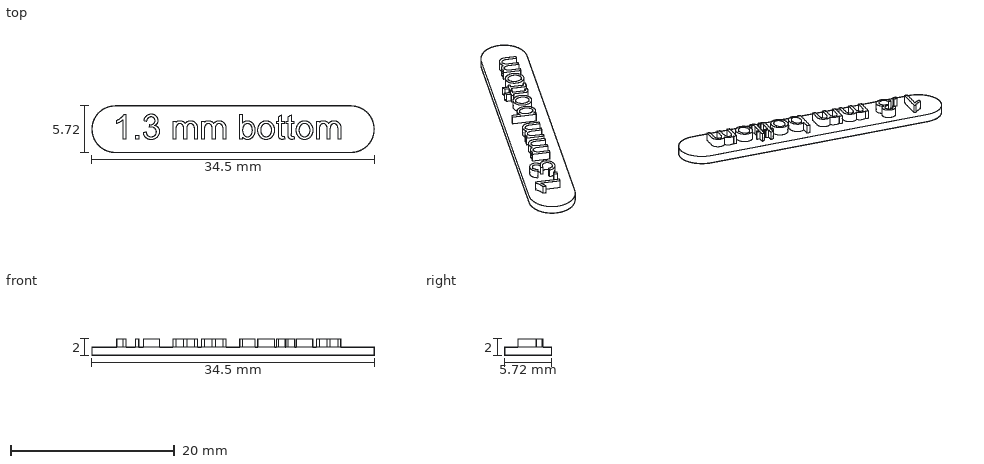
import cadquery as cq

LENGTH = 34.48
WIDTH = 5.72
PLATE_THICKNESS = 1.0

RELIEF = 1.0
TEXT = "1.3 mm bottom"
TEXT_START = -14.65
BASELINE = -1.2
DIGIT_CELL = 2.35
NARROW_CELL = DIGIT_CELL / 2
M_CELL = 3.48

STEM = 0.38
ROUND_STROKE = 0.3
CAP_HEIGHT = 3.0
X_HEIGHT = 2.17
OVERSHOOT = 0.05
SIDE_GAP = 0.28

ROUND_MIDDLE = X_HEIGHT / 2
ROUND_HALF_HEIGHT = ROUND_MIDDLE + OVERSHOOT

PLATE_CHARACTERS = "bo"


def block(x_min, x_max, y_min, y_max):
    """Raised rectangle between the given limits."""
    return (
        cq.Workplane("XY")
        .center((x_min + x_max) / 2, (y_min + y_max) / 2)
        .rect(x_max - x_min, y_max - y_min)
        .extrude(RELIEF)
    )


def oval_ring(middle_x, half_width, side_stroke):
    """Closed bowl as tall as a small letter."""
    return (
        cq.Workplane("XY")
        .center(middle_x, ROUND_MIDDLE)
        .ellipse(half_width, ROUND_HALF_HEIGHT)
        .ellipse(half_width - side_stroke, ROUND_HALF_HEIGHT - ROUND_STROKE)
        .extrude(RELIEF)
    )


def dome(half_width, dome_height, top):
    """Upright shape from the baseline with a half-ellipse on top, centred on X = 0."""
    shoulder = top - dome_height
    return (
        cq.Workplane("XY")
        .moveTo(half_width, 0)
        .lineTo(half_width, shoulder)
        .ellipseArc(half_width, dome_height, 0, 180, startAtCurrent=True)
        .lineTo(-half_width, 0)
        .close()
        .extrude(RELIEF)
    )


def digit_one():
    stem_right = 1.6
    stem_left = stem_right - STEM
    flag_tip = 0.45
    flag_bottom = 1.9
    flag_top = 2.28
    tip_width = 0.25
    return (
        cq.Workplane("XY")
        .moveTo(stem_left, 0)
        .lineTo(stem_right, 0)
        .lineTo(stem_right, CAP_HEIGHT)
        .lineTo(stem_right - tip_width, CAP_HEIGHT)
        .threePointArc((1.0, 2.62), (flag_tip, flag_top))
        .lineTo(flag_tip, flag_bottom)
        .threePointArc((0.85, 2.1), (stem_left, 2.35))
        .close()
        .extrude(RELIEF)
    )


def full_stop():
    dot_side = 0.4
    dot_left = 0.38
    return block(dot_left, dot_left + dot_side, 0, dot_side)


def digit_three():
    middle_x = 1.15
    top = CAP_HEIGHT + OVERSHOOT
    lower_end = (0.17, 0.8)
    return (
        cq.Workplane("XY")
        .moveTo(*lower_end)
        .lineTo(0.55, 0.85)
        .threePointArc((0.72, 0.4), (middle_x, ROUND_STROKE - OVERSHOOT))
        .threePointArc((1.75, 0.9), (middle_x, 1.48))
        .lineTo(0.9, 1.45)
        .lineTo(0.93, 1.75)
        .threePointArc((1.6, 2.28), (middle_x, top - ROUND_STROKE))
        .threePointArc((0.75, 2.55), (0.6, 2.17))
        .lineTo(0.25, 2.25)
        .threePointArc((0.55, 2.83), (middle_x, top))
        .threePointArc((1.72, 2.83), (1.95, 2.28))
        .threePointArc((1.85, 1.9), (1.55, 1.65))
        .threePointArc((2.0, 1.4), (2.17, 0.9))
        .threePointArc((1.85, 0.25), (middle_x, -OVERSHOOT))
        .threePointArc((0.48, 0.17), lower_end)
        .close()
        .extrude(RELIEF)
    )


def letter_m():
    leg_pitch = 1.3
    dome_height = 0.83
    top = X_HEIGHT + OVERSHOOT
    letter = block(SIDE_GAP, SIDE_GAP + STEM, 0, X_HEIGHT)
    for arch in range(2):
        arch_middle = SIDE_GAP + STEM / 2 + (arch + 0.5) * leg_pitch
        outside = dome((leg_pitch + STEM) / 2, dome_height, top)
        inside = dome((leg_pitch - STEM) / 2, dome_height - ROUND_STROKE / 2, top - ROUND_STROKE)
        letter = letter.union(outside.cut(inside).translate((arch_middle, 0, 0)))
    return letter


def letter_b():
    bowl_middle = 1.25
    bowl_half_width = 0.93
    bowl_stroke = 0.35
    stem = block(SIDE_GAP, SIDE_GAP + STEM, 0, CAP_HEIGHT)
    return stem.union(oval_ring(bowl_middle, bowl_half_width, bowl_stroke))


def letter_o():
    half_width = 1.05
    return oval_ring(DIGIT_CELL / 2, half_width, STEM)


def letter_t():
    stem_left = 0.35
    stem_right = stem_left + STEM
    bar_left = 0.07
    bar_right = 1.07
    bar_bottom = X_HEIGHT - 0.28
    hook_top = 0.328
    return (
        cq.Workplane("XY")
        .moveTo(stem_left, 2.72)
        .lineTo(stem_left, X_HEIGHT)
        .lineTo(bar_left, X_HEIGHT)
        .lineTo(bar_left, bar_bottom)
        .lineTo(stem_left, bar_bottom)
        .lineTo(stem_left, 0.55)
        .threePointArc((0.45, 0.1), (0.85, -OVERSHOOT / 2))
        .lineTo(bar_right + 0.07, 0)
        .lineTo(bar_right, hook_top)
        .lineTo(0.93, hook_top - 0.05)
        .threePointArc((0.75, 0.38), (stem_right, 0.62))
        .lineTo(stem_right, bar_bottom)
        .lineTo(bar_right, bar_bottom)
        .lineTo(bar_right, X_HEIGHT)
        .lineTo(stem_right, X_HEIGHT)
        .lineTo(stem_right, 2.93)
        .close()
        .extrude(RELIEF)
    )


def make_plate():
    """Flat bar with full-round ends."""
    return cq.Workplane("XY").slot2D(LENGTH, WIDTH).extrude(PLATE_THICKNESS)


CHARACTERS = {
    "1": (digit_one, DIGIT_CELL),
    ".": (full_stop, NARROW_CELL),
    "3": (digit_three, DIGIT_CELL),
    "m": (letter_m, M_CELL),
    "b": (letter_b, DIGIT_CELL),
    "o": (letter_o, DIGIT_CELL),
    "t": (letter_t, NARROW_CELL),
}

plate = make_plate()
loose_characters = []
cell_start = TEXT_START
for character in TEXT:
    if character == " ":
        cell_start += NARROW_CELL
        continue
    build, cell_width = CHARACTERS[character]
    raised = build().translate((cell_start, BASELINE, PLATE_THICKNESS))
    if character in PLATE_CHARACTERS:
        plate = plate.union(raised)
    else:
        loose_characters.extend(raised.solids().vals())
    cell_start += cell_width

result = cq.Compound.makeCompound([*plate.solids().vals(), *loose_characters])